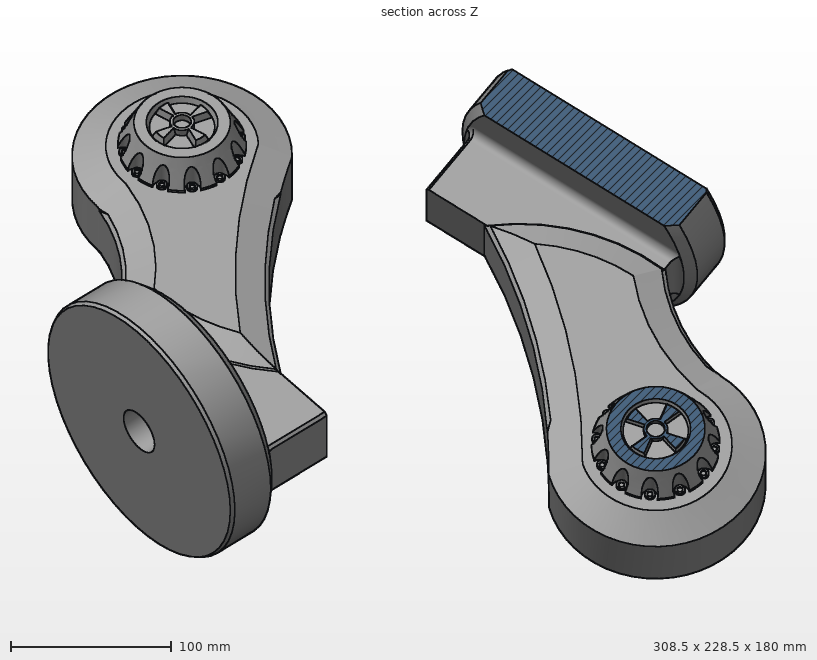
import cadquery as cq
import math

EMBED = 1.0

DISC_RADIUS = 90.0
DISC_DEPTH = 37.5
DISC_FRONT_CHAMFER_DEPTH = 2.5
DISC_FRONT_CHAMFER_WIDTH = 1.5
DISC_REAR_CHAMFER = 6.0
BORE_RADIUS = 15.0

BLOCK_HALF_WIDTH = 77.3
BLOCK_BACK_Y = 87.6
BLOCK_EDGE_CHAMFER = 2.0
HALF_HEIGHT = 19.5
FOOT_FILLET = 6.0

HUB_X = -150.0
HUB_Y = 160.0
HUB_RADIUS = 68.5
ARM_UPPER_ANGLE = 49.5
ARM_LOWER_ANGLE = 269.8
ARM_UPPER_MID = (-42.4, 140.9)
ARM_TIP = (33.0, BLOCK_BACK_Y)
ARM_FRONT_MID = (-20.0, 54.8)
ARM_FRONT_CORNER = (-BLOCK_HALF_WIDTH, 47.9)
ARM_LOWER_MID = (-107.2, 74.3)
BEVEL_WIDTH = 21.0
BEVEL_ANGLE = 22.5
BEVEL_HEIGHT = BEVEL_WIDTH * math.tan(math.radians(BEVEL_ANGLE))
ARM_TOP_Z = HALF_HEIGHT + BEVEL_HEIGHT
ARM_EDGE_DROP = 1.5
ARM_EDGE_TAPER = 45.0
ARM_BOTTOM_CHAMFER = 1.0
HUB_CLEARANCE = 0.5

KNOB_RADIUS = 40.0
KNOB_TOP_RADIUS = 30.0
KNOB_FOOT_HEIGHT = 1.7
KNOB_FOOT_Z = ARM_TOP_Z + KNOB_FOOT_HEIGHT
KNOB_TOP_Z = 49.4

GROOVE_COUNT = 12
GROOVE_RADIUS = 5.2
GROOVE_INNER_RADIUS = 33.0
GROOVE_CENTRE_RADIUS = GROOVE_INNER_RADIUS + GROOVE_RADIUS
STUD_RADIUS = 3.3
STUD_CENTRE_RADIUS = 36.5
SOCKET_RADIUS = 1.8
SOCKET_DEPTH = 1.0

RECESS_RADIUS = 22.3
RECESS_FLOOR_RADIUS = 20.3
RECESS_DEPTH = 4.0
RECESS_FLOOR_Z = KNOB_TOP_Z - RECESS_DEPTH
WHEEL_TOP_Z = 50.3
WHEEL_HEIGHT = WHEEL_TOP_Z - RECESS_FLOOR_Z
WHEEL_TOP_RADIUS = 18.3
WHEEL_HUB_RADIUS = 7.6
WHEEL_HOLE_RADIUS = 5.6
SPOKE_COUNT = 4
SPOKE_OUTER_HALF_WIDTH = 6.5
SPOKE_INNER_HALF_WIDTH = 1.9
SPOKE_INNER_RADIUS = 5.0
SPOKE_DRAFT = 18.0


def revolved(plane, profile):
    """Full turn of a (radius, height) profile about the local Y axis of a plane."""
    return cq.Workplane(plane).polyline(profile).close().revolve(360, (0, 0, 0), (0, 1, 0))


def on_hub(angle):
    """Point on the hub circle at an angle in degrees."""
    a = math.radians(angle)
    return (HUB_X + HUB_RADIUS * math.cos(a), HUB_Y + HUB_RADIUS * math.sin(a))


def arm_outline(z):
    """Closed plan outline of the hub and arm at height z."""
    hub_mid_angle = (ARM_UPPER_ANGLE + ARM_LOWER_ANGLE) / 2
    return (
        cq.Workplane("XY", origin=(0, 0, z))
        .moveTo(*on_hub(ARM_UPPER_ANGLE))
        .threePointArc(on_hub(hub_mid_angle), on_hub(ARM_LOWER_ANGLE))
        .threePointArc(ARM_LOWER_MID, ARM_FRONT_CORNER)
        .threePointArc(ARM_FRONT_MID, ARM_TIP)
        .threePointArc(ARM_UPPER_MID, on_hub(ARM_UPPER_ANGLE))
        .close()
    )


def make_arm():
    """Hub and arm with a wide bevel around the top and small chamfers along the arm edges."""
    walls = arm_outline(-HALF_HEIGHT).extrude(2 * HALF_HEIGHT)
    bevel = arm_outline(HALF_HEIGHT).extrude(BEVEL_HEIGHT, taper=90 - BEVEL_ANGLE)
    sharp_arm = walls.union(bevel)
    return sharp_arm.cut(edge_trim(sharp_arm))


def edge_trim(sharp_arm):
    """Material to remove from the top and bottom edges of the arm, leaving the hub edges sharp."""
    top_start = HALF_HEIGHT - ARM_EDGE_DROP
    bottom_start = ARM_BOTTOM_CHAMFER - HALF_HEIGHT
    middle = arm_outline(bottom_start).extrude(top_start - bottom_start)
    top = arm_outline(top_start).extrude(ARM_TOP_Z - top_start, taper=ARM_EDGE_TAPER)
    bottom = arm_outline(bottom_start).extrude(-ARM_BOTTOM_CHAMFER, taper=ARM_EDGE_TAPER)
    hub_keeper = (
        cq.Workplane("XY", origin=(HUB_X, HUB_Y, -HALF_HEIGHT))
        .circle(HUB_RADIUS + HUB_CLEARANCE)
        .extrude(HALF_HEIGHT + ARM_TOP_Z)
    )
    return sharp_arm.cut(middle.union(top).union(bottom)).cut(hub_keeper)


def make_knob():
    """Conical knob with finger grooves, studs and a spoked wheel, placed on the hub."""
    profile = [
        (0, ARM_TOP_Z - EMBED), (KNOB_RADIUS, ARM_TOP_Z - EMBED), (KNOB_RADIUS, KNOB_FOOT_Z),
        (KNOB_TOP_RADIUS, KNOB_TOP_Z), (RECESS_RADIUS, KNOB_TOP_Z),
        (RECESS_FLOOR_RADIUS, RECESS_FLOOR_Z), (0, RECESS_FLOOR_Z),
    ]
    knob = revolved("XZ", profile)
    for i in range(GROOVE_COUNT):
        angle = i * 360 / GROOVE_COUNT
        groove = post(GROOVE_CENTRE_RADIUS, GROOVE_RADIUS, ARM_TOP_Z, KNOB_TOP_Z, angle)
        stud = post(STUD_CENTRE_RADIUS, STUD_RADIUS, ARM_TOP_Z - EMBED, KNOB_FOOT_Z, angle)
        socket = post(STUD_CENTRE_RADIUS, SOCKET_RADIUS, KNOB_FOOT_Z - SOCKET_DEPTH, KNOB_FOOT_Z, angle)
        knob = knob.cut(groove).union(stud).cut(socket)
    return knob.union(make_wheel()).translate((HUB_X, HUB_Y, 0))


def post(centre_radius, radius, z_bottom, z_top, angle):
    """Upright cylinder at a distance and an angle from the knob axis."""
    base = cq.Workplane("XY", origin=(centre_radius, 0, z_bottom))
    cylinder = base.circle(radius).extrude(z_top - z_bottom)
    return cylinder.rotate((0, 0, 0), (0, 0, 1), angle)


def make_wheel():
    """Four drafted spokes around a hollow hub, with sloping outer ends."""
    floor = cq.Workplane("XY", origin=(0, 0, RECESS_FLOOR_Z))
    spoke_outline = [
        (SPOKE_INNER_RADIUS, SPOKE_INNER_HALF_WIDTH), (RECESS_RADIUS, SPOKE_OUTER_HALF_WIDTH),
        (RECESS_RADIUS, -SPOKE_OUTER_HALF_WIDTH), (SPOKE_INNER_RADIUS, -SPOKE_INNER_HALF_WIDTH),
    ]
    spoke = floor.polyline(spoke_outline).close().extrude(WHEEL_HEIGHT, taper=SPOKE_DRAFT)
    wheel = floor.circle(WHEEL_HUB_RADIUS).extrude(WHEEL_HEIGHT)
    for i in range(SPOKE_COUNT):
        wheel = wheel.union(spoke.rotate((0, 0, 0), (0, 0, 1), i * 360 / SPOKE_COUNT))
    limit_profile = [
        (0, RECESS_FLOOR_Z - EMBED), (RECESS_FLOOR_RADIUS, RECESS_FLOOR_Z - EMBED),
        (RECESS_FLOOR_RADIUS, RECESS_FLOOR_Z), (WHEEL_TOP_RADIUS, WHEEL_TOP_Z), (0, WHEEL_TOP_Z),
    ]
    limit = revolved("XZ", limit_profile)
    return wheel.intersect(limit).cut(floor.circle(WHEEL_HOLE_RADIUS).extrude(WHEEL_HEIGHT))


def make_base():
    """Bored disc and block, with a fillet where the block meets the disc."""
    block = cq.Workplane("XY").box(
        2 * BLOCK_HALF_WIDTH, BLOCK_BACK_Y, 2 * HALF_HEIGHT, centered=(True, False, True)
    )
    slab = cq.Workplane("XY").box(
        4 * DISC_RADIUS, DISC_DEPTH, 4 * DISC_RADIUS, centered=(True, False, True)
    )
    block = block.edges(">X and >Z").chamfer(BLOCK_EDGE_CHAMFER)
    foot = block.union(slab)
    foot_edges = cq.selectors.BoxSelector(
        (-DISC_RADIUS, DISC_DEPTH - EMBED, -DISC_RADIUS), (DISC_RADIUS, DISC_DEPTH + EMBED, DISC_RADIUS)
    )
    foot = foot.edges(foot_edges).fillet(FOOT_FILLET)
    rim = DISC_RADIUS - DISC_REAR_CHAMFER
    profile = [
        (0, 0), (DISC_RADIUS - DISC_FRONT_CHAMFER_WIDTH, 0), (DISC_RADIUS, DISC_FRONT_CHAMFER_DEPTH),
        (DISC_RADIUS, DISC_DEPTH - DISC_REAR_CHAMFER), (rim, DISC_DEPTH),
        (rim, BLOCK_BACK_Y), (0, BLOCK_BACK_Y),
    ]
    envelope = revolved("XY", profile)
    bore = cq.Workplane("XZ").circle(BORE_RADIUS).extrude(-DISC_DEPTH)
    return foot.intersect(envelope).cut(bore)


result = make_base().union(make_arm()).union(make_knob())